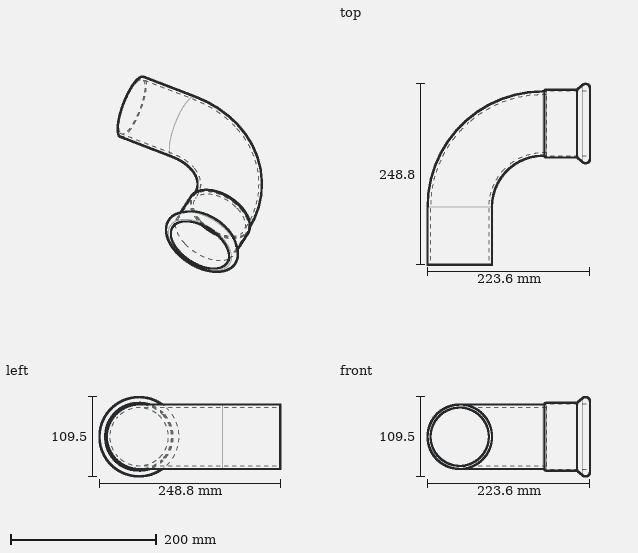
import cadquery as cq
import math


pipe_radius = 88.8 / 2
bore_radius = 80.0 / 2
spigot_length = 79.5
bend_radius = 114.5

socket_radius = 93.5 / 2
socket_bore_radius = 89.5 / 2
socket_length = 64.7

stub_length = 2.2
step_radius = 91.0 / 2
crown_width = 2.7

bead_outer_radius = 109.5 / 2
bead_round = 6.2
bead_cone_angle = math.radians(40)

step_x = bend_radius + stub_length
barrel_x = step_x + crown_width
mouth_x = bend_radius + socket_length


def sweep_along_pipe(radius):
    """Solid rod following the spigot and the bend."""
    path = (
        cq.Workplane("XY")
        .moveTo(0, -spigot_length)
        .lineTo(0, 0)
        .radiusArc((bend_radius, bend_radius), bend_radius)
    )
    return cq.Workplane("XZ", origin=(0, -spigot_length, 0)).circle(radius).sweep(path)


def make_socket_body():
    """Solid socket with its crowned step and bead, revolved about the socket axis."""
    bead_center_x = mouth_x - bead_round
    bead_center_r = bead_outer_radius - bead_round
    cone_end_x = bead_center_x - bead_round * math.sin(bead_cone_angle)
    cone_end_r = bead_center_r + bead_round * math.cos(bead_cone_angle)
    cone_start_x = cone_end_x - (cone_end_r - socket_radius) / math.tan(bead_cone_angle)

    crown_rise = socket_radius - step_radius
    crown_round = (crown_width**2 + crown_rise**2) / (2 * crown_rise)

    profile = (
        cq.Workplane("XY", origin=(0, bend_radius, 0))
        .moveTo(bend_radius, 0)
        .lineTo(bend_radius, pipe_radius)
        .lineTo(step_x, pipe_radius)
        .lineTo(step_x, step_radius)
        .radiusArc((barrel_x, socket_radius), crown_round)
        .lineTo(cone_start_x, socket_radius)
        .lineTo(cone_end_x, cone_end_r)
        .threePointArc((bead_center_x, bead_outer_radius), (mouth_x, bead_center_r))
        .lineTo(mouth_x, 0)
        .close()
    )
    return profile.revolve(360, (bend_radius, 0, 0), (mouth_x, 0, 0))


def make_socket_bore():
    """Bore of the socket, leaving a stop shoulder at the start of its barrel."""
    pipe_bore = (
        cq.Workplane("YZ", origin=(bend_radius, bend_radius, 0))
        .circle(bore_radius)
        .extrude(barrel_x - bend_radius)
    )
    socket_bore = (
        cq.Workplane("YZ", origin=(barrel_x, bend_radius, 0))
        .circle(socket_bore_radius)
        .extrude(mouth_x - barrel_x)
    )
    return pipe_bore.union(socket_bore)


def make_elbow():
    """Hollow elbow: spigot, bend and socket as one piece."""
    outside = sweep_along_pipe(pipe_radius).union(make_socket_body())
    return outside.cut(sweep_along_pipe(bore_radius)).cut(make_socket_bore())


elbow = make_elbow()
result = cq.Compound.makeCompound([elbow.val()])